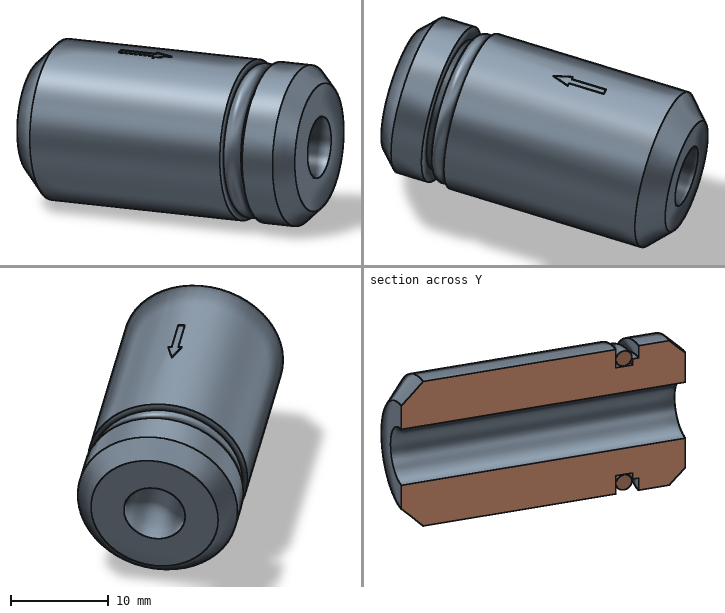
import cadquery as cq
length = 31.0
outer_diameter = 16.6
bore_diameter = 6.35
inlet_chamfer = 2.4
outlet_chamfer_length = 1.77
outlet_chamfer_depth = 1.7

groove_start = 23.4
groove_width = 2.48
groove_shelf_diameter = 13.82
seat_width = 1.83

ring_section_diameter = 1.77
ring_outer_diameter = 15.95

arrow_tail_x = 9.4
arrow_shaft_length = 3.8
arrow_head_length = 1.9
arrow_center_y = -1.02
arrow_shaft_width = 0.68
arrow_head_width = 1.43
arrow_depth = 0.1

outer_radius = outer_diameter / 2
bore_radius = bore_diameter / 2
groove_shelf_radius = groove_shelf_diameter / 2
groove_end = groove_start + groove_width
seat_end = groove_start + seat_width
seat_floor_radius = ring_outer_diameter / 2 - ring_section_diameter
ring_section_radius = ring_section_diameter / 2
ring_center_x = groove_start + ring_section_radius
ring_center_radius = seat_floor_radius + ring_section_radius


def make_turned_blank():
    """Sleeve with both end chamfers, the stepped groove and the through bore."""
    outlet_chamfer_start = length - outlet_chamfer_length
    profile = (
        cq.Workplane("XY")
        .moveTo(0, bore_radius)
        .lineTo(0, outer_radius - inlet_chamfer)
        .lineTo(inlet_chamfer, outer_radius)
        .lineTo(groove_start, outer_radius)
        .lineTo(groove_start, seat_floor_radius)
        .lineTo(seat_end, seat_floor_radius)
        .lineTo(seat_end, groove_shelf_radius)
        .lineTo(groove_end, groove_shelf_radius)
        .lineTo(groove_end, outer_radius)
        .lineTo(outlet_chamfer_start, outer_radius)
        .lineTo(length, outer_radius - outlet_chamfer_depth)
        .lineTo(length, bore_radius)
        .close()
    )
    return profile.revolve(360, (0, 0, 0), (1, 0, 0))


def make_arrow_cutter():
    """Arrow prism limited to the thin layer just under the outer surface."""
    head_x = arrow_tail_x + arrow_shaft_length
    tip_x = head_x + arrow_head_length
    half_shaft = arrow_shaft_width / 2
    half_head = arrow_head_width / 2
    prism = (
        cq.Workplane("XY", origin=(0, arrow_center_y, 0))
        .moveTo(arrow_tail_x, -half_shaft)
        .lineTo(head_x, -half_shaft)
        .lineTo(head_x, -half_head)
        .lineTo(tip_x, 0)
        .lineTo(head_x, half_head)
        .lineTo(head_x, half_shaft)
        .lineTo(arrow_tail_x, half_shaft)
        .close()
        .extrude(outer_diameter)
    )
    core = cq.Workplane("YZ").circle(outer_radius - arrow_depth).extrude(length)
    return prism.cut(core)


def make_housing():
    return make_turned_blank().cut(make_arrow_cutter())


def make_o_ring():
    """Torus that touches the inlet-side wall and the floor of its seat."""
    section = cq.Workplane("XY").center(ring_center_x, ring_center_radius).circle(ring_section_radius)
    return section.revolve(360, (0, -ring_center_radius, 0), (1, -ring_center_radius, 0))


housing = make_housing()
o_ring = make_o_ring()

result = cq.Compound.makeCompound([housing.val(), o_ring.val()])